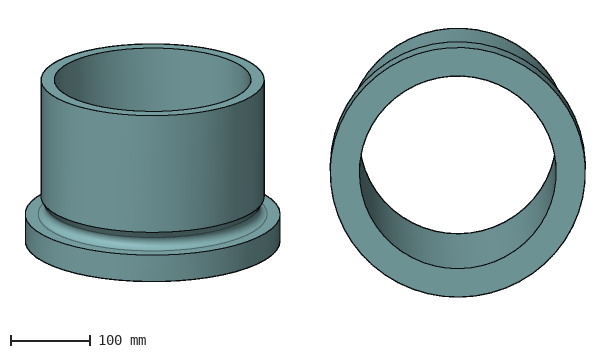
import cadquery as cq
import math

flange_diameter = 320.0
flange_height = 35.2
tube_diameter = 280.0
bore_diameter = 246.7
total_height = 213.0
neck_diameter = 267.5
groove_radius = 10.0
bevel_angle = math.radians(30)

flange_radius = flange_diameter / 2
tube_radius = tube_diameter / 2
bore_radius = bore_diameter / 2
neck_radius = neck_diameter / 2

arc_center_r = neck_radius + groove_radius
neck_z = flange_height + groove_radius


def groove_point(angle):
    """Point on the groove arc, at an angle above the narrowest point."""
    r = arc_center_r - groove_radius * math.cos(angle)
    z = neck_z + groove_radius * math.sin(angle)
    return r, z


bevel_start_r, bevel_start_z = groove_point(bevel_angle)
bevel_end_z = bevel_start_z + (tube_radius - bevel_start_r) / math.tan(bevel_angle)

section = (
    cq.Workplane("XZ")
    .moveTo(bore_radius, 0)
    .lineTo(flange_radius, 0)
    .lineTo(flange_radius, flange_height)
    .lineTo(arc_center_r, flange_height)
    .threePointArc(groove_point(-math.pi / 4), (neck_radius, neck_z))
    .threePointArc(groove_point(bevel_angle / 2), (bevel_start_r, bevel_start_z))
    .lineTo(tube_radius, bevel_end_z)
    .lineTo(tube_radius, total_height)
    .lineTo(bore_radius, total_height)
    .close()
)

result = section.revolve(360, (0, 0, 0), (0, 1, 0))